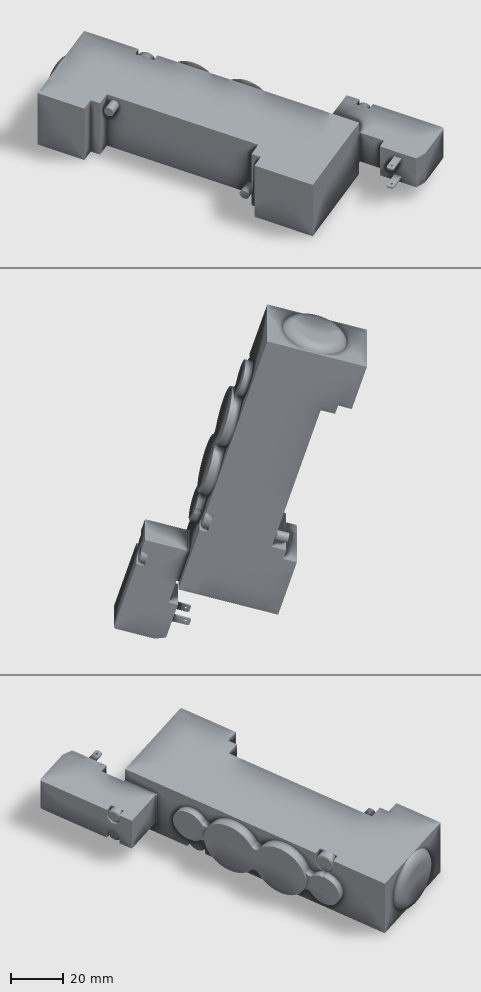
import cadquery as cq
import math


housing_left = -56.6
housing_right = 61.5
housing_depth = 40.0
housing_height = 26.5
foot_gap_half = 36.5
foot_height = 5.5
bed_half = 32.5
bed_height = 11.3

cap_radius = 13.0
cap_flat_radius = 8.5
cap_edge_radius = 5.0
cap_axis_y = -19.0

port_x = 11.45
port_radius = 11.65
port_rise = 4.0
pilot_x = 30.7
pilot_z = 1.25
pilot_radius = 7.1
pilot_rise = 3.0
blend_radius = 2.0

screw_x = 29.15
screw_z = 9.495
screw_head_radius = 4.0
screw_shank_radius = 2.0
screw_seat_depth = 3.2
screw_head_top = 0.05
head_edge_radius = 0.8
screw_tip_left = 33.8
screw_tip_right = 34.15

label_length = 69.4
label_width = 13.0
label_centre_y = -20.2
label_thickness = 0.5

seal_thickness = 0.8
seal_left = 46.9

plug_left = 47.2
plug_right = 89.2
plug_back = 17.7
plug_height = 14.9
plug_step_x = 71.8
plug_step_y = -2.9
plug_bevel_x = 1.8
plug_bevel_y = 4.0
plug_corner_radius = 1.0
plug_screw_x = 55.65
plug_screw_z = 4.75
plug_screw_radius = 2.9
plug_seat_depth = 3.1
plug_screw_head_top = 0.45

contact_x = 79.6
contact_z = 4.7
contact_width = 3.0
contact_thickness = 0.8
contact_tip_y = -10.2
contact_corner = 0.5
contact_hole_radius = 0.5
contact_hole_inset = 1.8


def y_cylinder(radius, x, z, y_start, y_end):
    """A cylinder along Y from y_start up to y_end."""
    axis_start = cq.Vector(x, y_start, z)
    return cq.Workplane(cq.Solid.makeCylinder(radius, y_end - y_start, axis_start, cq.Vector(0, 1, 0)))


def box_between(x_range, y_range, z_range):
    """A box spanning the given (low, high) ranges."""
    low, high = zip(x_range, y_range, z_range)
    size = [end - start for start, end in zip(low, high)]
    return cq.Workplane("XY").box(*size, centered=False).translate(low)


def screw_seat(radius, x, z, face_y, depth, height):
    """A round seat sunk into the face at face_y, open to the nearer Z side."""
    seat = y_cylinder(radius, x, z, face_y - depth, face_y)
    outside = math.copysign(height, z)
    z_range = sorted((z, outside))
    mouth = box_between((x - radius, x + radius), (face_y - depth, face_y), z_range)
    return seat.union(mouth)


def screw_head(radius, x, z, seat_y, top_y):
    """A screw head with a rounded top edge."""
    return y_cylinder(radius, x, z, seat_y, top_y).faces(">Y").edges().fillet(head_edge_radius)


def disc_blend(centre_a, radius_a, centre_b, radius_b, rise):
    """Material filling the two hollows between neighbouring discs, with hollow arcs tangent to both."""
    step_x = centre_b[0] - centre_a[0]
    step_z = centre_b[1] - centre_a[1]
    spacing = math.hypot(step_x, step_z)
    tilt = math.degrees(math.atan2(step_z, step_x))
    reach_a = radius_a + blend_radius
    reach_b = radius_b + blend_radius
    arc_x = (reach_a**2 - reach_b**2 + spacing**2) / (2 * spacing)
    arc_z = math.sqrt(reach_a**2 - arc_x**2)
    touch_a = (arc_x * radius_a / reach_a, arc_z * radius_a / reach_a)
    touch_b = (spacing + (arc_x - spacing) * radius_b / reach_b, arc_z * radius_b / reach_b)
    waist = (arc_x, arc_z - blend_radius)
    blend = (
        cq.Workplane("XZ")
        .moveTo(*touch_a)
        .threePointArc(waist, touch_b)
        .lineTo(touch_b[0], -touch_b[1])
        .threePointArc((waist[0], -waist[1]), (touch_a[0], -touch_a[1]))
        .close()
        .extrude(-rise)
    )
    turned = blend.rotate((0, 0, 0), (0, -1, 0), tilt)
    return turned.translate((centre_a[0], 0, centre_a[1]))


def make_port_plate():
    """Two port discs between two lower pilot discs, blended into one another."""
    plate = disc_blend((-port_x, 0), port_radius, (port_x, 0), port_radius, port_rise)
    for side in (-1, 1):
        port_centre = (side * port_x, 0)
        pilot_centre = (side * pilot_x, side * pilot_z)
        plate = plate.union(y_cylinder(port_radius, *port_centre, 0, port_rise))
        plate = plate.union(y_cylinder(pilot_radius, *pilot_centre, 0, pilot_rise))
        plate = plate.union(disc_blend(pilot_centre, pilot_radius, port_centre, port_radius, pilot_rise))
    return plate


def make_end_cap():
    """A shallow dome: a flat disc with an arc edge running down to the housing wall."""
    arc_run = cap_radius - cap_flat_radius
    drop = cap_edge_radius - math.sqrt(cap_edge_radius**2 - arc_run**2)
    half_angle = math.asin(arc_run / cap_edge_radius) / 2
    arc_middle = (
        -drop + cap_edge_radius * (1 - math.cos(half_angle)),
        cap_flat_radius + cap_edge_radius * math.sin(half_angle),
    )
    profile = (
        cq.Workplane("XY")
        .lineTo(-drop, 0)
        .lineTo(-drop, cap_flat_radius)
        .threePointArc(arc_middle, (0, cap_radius))
        .close()
    )
    return profile.revolve(360, (0, 0), (1, 0)).translate((housing_left, cap_axis_y, 0))


def make_housing():
    half_height = housing_height / 2
    z_range = (-half_height, half_height)
    front_y = -housing_depth
    bed_y = front_y + bed_height
    body = box_between((housing_left, housing_right), (front_y, 0), z_range)
    body = body.cut(box_between((-foot_gap_half, foot_gap_half), (front_y, front_y + foot_height), z_range))
    body = body.cut(box_between((-bed_half, bed_half), (front_y, bed_y), z_range))
    body = body.union(make_end_cap()).union(make_port_plate())

    for side, tip in ((-1, screw_tip_left), (1, screw_tip_right)):
        x = side * screw_x
        z = -side * screw_z
        seat_height = screw_seat_depth + port_rise
        body = body.cut(screw_seat(screw_head_radius, x, z, port_rise, seat_height, half_height))
        body = body.union(screw_head(screw_head_radius, x, z, -screw_seat_depth, -screw_head_top))
        body = body.union(y_cylinder(screw_shank_radius, x, z, -tip, bed_y))

    label = box_between(
        (-label_length / 2, label_length / 2),
        (label_centre_y - label_width / 2, label_centre_y + label_width / 2),
        (half_height - label_thickness, half_height),
    )
    return body.union(label, clean=False)


def make_seal():
    half_width = plug_height / 2
    return box_between((seal_left, housing_right), (0, seal_thickness), (-half_width, half_width))


def make_contact(z):
    """A flat contact blade with bevelled tip corners and a small hole near the tip."""
    half_width = contact_width / 2
    half_thickness = contact_thickness / 2
    blade = box_between(
        (contact_x - half_width, contact_x + half_width),
        (contact_tip_y, plug_step_y),
        (z - half_thickness, z + half_thickness),
    )
    blade = blade.faces("<Y").edges("|Z").chamfer(contact_corner)
    hole = cq.Workplane("XY").center(contact_x, contact_tip_y + contact_hole_inset)
    hole = hole.circle(contact_hole_radius).extrude(contact_thickness).translate((0, 0, z - half_thickness))
    return blade.cut(hole)


def make_plug():
    half_height = plug_height / 2
    body = (
        cq.Workplane("XY")
        .moveTo(plug_left, seal_thickness)
        .lineTo(plug_step_x, seal_thickness)
        .lineTo(plug_step_x, plug_step_y)
        .lineTo(plug_right - plug_bevel_x, plug_step_y)
        .lineTo(plug_right, plug_step_y + plug_bevel_y)
        .lineTo(plug_right, plug_back)
        .lineTo(plug_left, plug_back)
        .close()
        .extrude(half_height, both=True)
    )
    body = body.edges("|Z").edges(">X and >Y").fillet(plug_corner_radius)
    seat_y = plug_back - plug_seat_depth
    head_top_y = plug_back - plug_screw_head_top
    for side in (-1, 1):
        z = side * plug_screw_z
        body = body.cut(
            screw_seat(plug_screw_radius, plug_screw_x, z, plug_back, plug_seat_depth, half_height)
        )
        body = body.union(screw_head(plug_screw_radius, plug_screw_x, z, seat_y, head_top_y))
        body = body.union(make_contact(side * contact_z))
    return body


housing = make_housing()
seal = make_seal()
plug = make_plug()

result = cq.Compound.makeCompound([housing.val(), seal.val(), plug.val()])